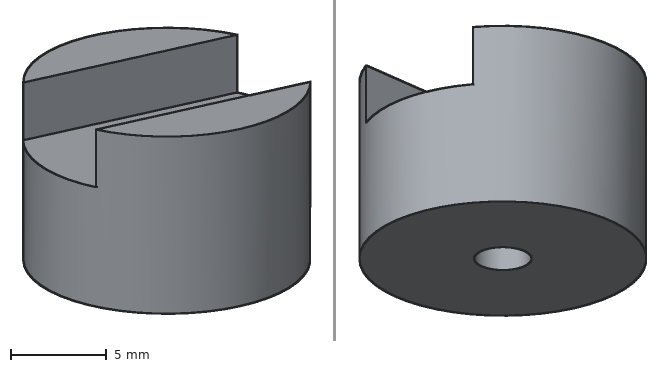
import cadquery as cq

body_diameter = 15.0
body_height = 10.0

slot_width = 7.5
slot_depth = 3.25
slot_floor_z = body_height - slot_depth

hole_diameter = 3.0
counterbore_diameter = 5.5
counterbore_depth = 2.5


def make_body():
    return cq.Workplane("XY").circle(body_diameter / 2).extrude(body_height)


def cut_slot(part):
    slot = (
        cq.Workplane("XY", origin=(0, 0, slot_floor_z))
        .rect(slot_width, body_diameter)
        .extrude(slot_depth)
    )
    return part.cut(slot)


def cut_screw_hole(part):
    return (
        part.copyWorkplane(cq.Workplane("XY", origin=(0, 0, slot_floor_z)))
        .cboreHole(hole_diameter, counterbore_diameter, counterbore_depth)
    )


result = cut_screw_hole(cut_slot(make_body()))